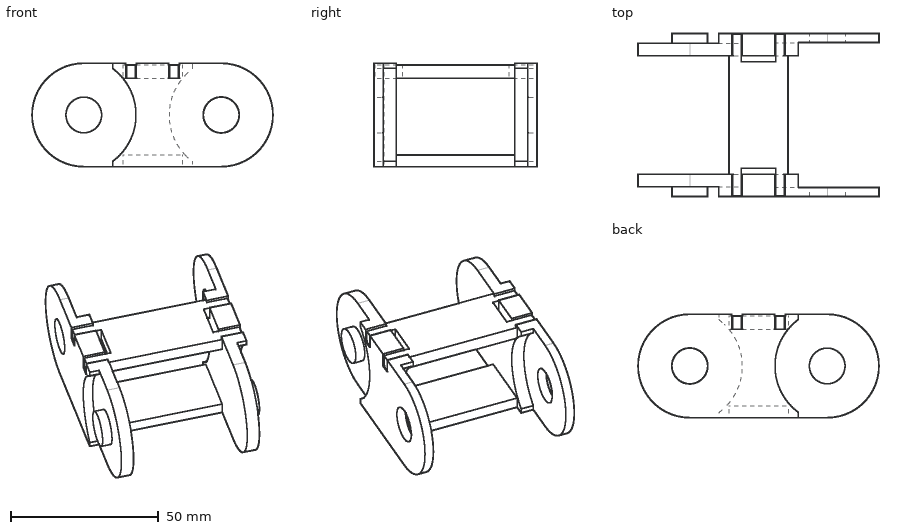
import cadquery as cq
import math

length = 81.5
width = 55.2
height = 35.0

inner_face = 20.0
inner_half_outside = 24.3
outer_half_inside = 24.45
outer_face = width / 2
step_x = 13.45
relief_apex = 5.55
relief_radius = 19.55
pin_diameter = 12.1
hole_diameter = 12.1

bar_width = 20.05
bottom_bar_thickness = 4.0

bar_bottom = 12.4
bar_top = 16.95
arm_inside = 5.8
arm_outside = 8.6
arm_end = 27.3
arm_gap_floor = 18.0
notch_inside = 5.5
notch_outside = 9.05

end_radius = height / 2
end_center = length / 2 - end_radius
relief_center = relief_apex + relief_radius
relief_corner_z = math.sqrt(relief_radius**2 - (relief_center - step_x) ** 2)


def box_between(x_range, y_range, z_range):
    """Box spanning the given (low, high) pair on each axis."""
    return cq.Workplane("XY").box(
        x_range[1] - x_range[0],
        y_range[1] - y_range[0],
        z_range[1] - z_range[0],
        centered=False,
    ).translate((x_range[0], y_range[0], z_range[0]))


def cylinder_along_y(x, diameter, y_start, y_end):
    """Cylinder parallel to Y at mid height."""
    return (
        cq.Workplane("XZ", origin=(0, y_start, 0))
        .center(x, 0)
        .circle(diameter / 2)
        .extrude(y_start - y_end)
    )


def half_plate(direction, y_start, y_end):
    """Plate with a round end toward direction (+1 or -1) and a concave other end."""
    return (
        cq.Workplane("XZ", origin=(0, y_start, 0))
        .moveTo(direction * end_center, end_radius)
        .threePointArc((direction * length / 2, 0), (direction * end_center, -end_radius))
        .lineTo(-direction * step_x, -end_radius)
        .lineTo(-direction * step_x, -relief_corner_z)
        .threePointArc((-direction * relief_apex, 0), (-direction * step_x, relief_corner_z))
        .lineTo(-direction * step_x, end_radius)
        .close()
        .extrude(y_start - y_end)
    )


def middle_web():
    """Full-depth joint between the reliefs of the inner and outer halves."""
    web = half_plate(1, inner_face, outer_face)
    return web.intersect(half_plate(-1, inner_face, outer_face))


def make_side_plate():
    """Offset side plate on the +Y side, with its pin, hole and arm notches."""
    plate = (
        half_plate(-1, inner_face, inner_half_outside)
        .union(half_plate(1, outer_half_inside, outer_face))
        .union(middle_web())
        .union(cylinder_along_y(-end_center, pin_diameter, inner_face, outer_face))
        .cut(cylinder_along_y(end_center, hole_diameter, inner_face, outer_face))
    )
    for x_range in [(-notch_outside, -notch_inside), (notch_inside, notch_outside)]:
        plate = plate.cut(box_between(x_range, (inner_face, outer_face), (bar_bottom, end_radius)))
    return plate


def make_link():
    """Both side plates joined by the fixed bottom bar."""
    plate = make_side_plate()
    bottom_bar = box_between(
        (-bar_width / 2, bar_width / 2),
        (-inner_face, inner_face),
        (-end_radius, bottom_bar_thickness - end_radius),
    )
    return bottom_bar.union(plate).union(plate.mirror("XZ"))


def make_top_bar():
    """Removable top bar with two arms at each end resting in the notches."""
    bar_heights = (bar_bottom, bar_top)
    bar = box_between((-bar_width / 2, bar_width / 2), (-inner_face, inner_face), bar_heights)
    bar = bar.union(box_between((-arm_outside, arm_outside), (-arm_end, arm_end), bar_heights))
    for y_range in [(-arm_end, -arm_gap_floor), (arm_gap_floor, arm_end)]:
        bar = bar.cut(box_between((-arm_inside, arm_inside), y_range, bar_heights))
    return bar


link = make_link()
top_bar = make_top_bar()

result = cq.Compound.makeCompound([link.val(), top_bar.val()])